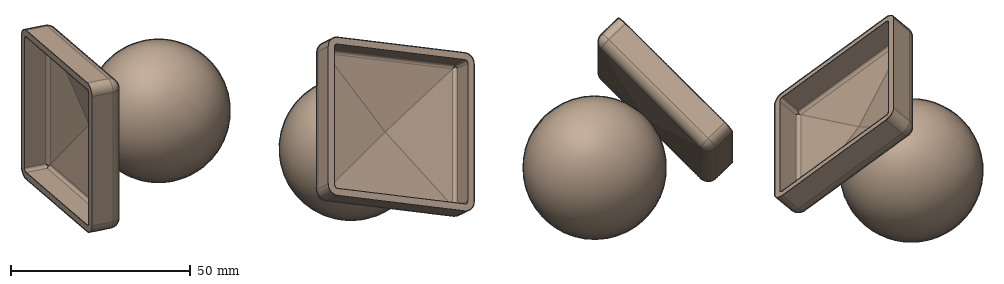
import cadquery as cq

overall_length = 51.5
cap_width = 45.5
ball_diameter = 40.0
roof_rise = 2.5
wall_thickness = 2.0
eave_height = 9.55
outer_radius = 3.0

cavity_eave_height = eave_height - wall_thickness
inner_radius = outer_radius - wall_thickness
cavity_width = cap_width - 2 * wall_thickness
roof_half_width = cap_width / 2 - outer_radius
ball_radius = ball_diameter / 2
ball_centre_y = overall_length - ball_radius


def rounded_square(width, height, radius):
    """Square block standing on Y = 0 with its four long corners rounded."""
    block = cq.Workplane("XZ").rect(width, width).extrude(-height)
    return block.edges("|Y").fillet(radius)


def roof_prism(plane):
    """Flat triangular prism with the roof profile, standing on Y = eave_height."""
    return (
        cq.Workplane(plane)
        .moveTo(-roof_half_width, eave_height)
        .lineTo(roof_half_width, eave_height)
        .lineTo(0, eave_height + roof_rise)
        .close()
        .extrude(roof_half_width, both=True)
    )


def cavity_prism(plane):
    """Gabled cavity profile with rounded eaves, extruded across the cavity width."""
    half_width = cavity_width / 2
    wall_top = cavity_eave_height - inner_radius
    return (
        cq.Workplane(plane)
        .moveTo(-half_width, 0)
        .lineTo(half_width, 0)
        .lineTo(half_width, wall_top)
        .radiusArc((roof_half_width, cavity_eave_height), -inner_radius)
        .lineTo(0, cavity_eave_height + roof_rise)
        .lineTo(-roof_half_width, cavity_eave_height)
        .radiusArc((-half_width, wall_top), -inner_radius)
        .close()
        .extrude(half_width, both=True)
    )


cap = rounded_square(cap_width, eave_height, outer_radius)
cap = cap.faces(">Y").edges().fillet(outer_radius)
cap = cap.union(roof_prism("XY").intersect(roof_prism("ZY")))

cavity_height = cavity_eave_height + roof_rise
cavity = rounded_square(cavity_width, cavity_height, inner_radius)
cavity = cavity.intersect(cavity_prism("XY")).intersect(cavity_prism("ZY"))
cap = cap.cut(cavity)

ball = cq.Workplane("XY").sphere(ball_radius).translate((0, ball_centre_y, 0))

result = cap.union(ball)